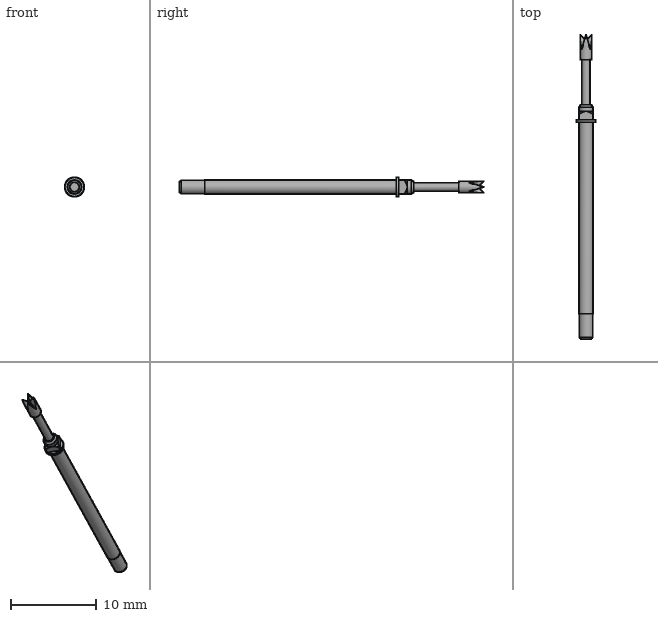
import cadquery as cq
import math


BARREL_DIAMETER = 1.65
BARREL_LENGTH = 25.5
TAIL_DIAMETER = 1.6
TAIL_LENGTH = 3.0
END_CHAMFER = 0.25

FLANGE_DIAMETER = 2.3
FLANGE_THICKNESS = 0.32

SQUARE_WIDTH = BARREL_DIAMETER
ROUND_START = 1.28
NOSE_START = 1.75
NOSE_END = 2.08
NOSE_DIAMETER = 1.25

STEM_DIAMETER = 1.0
HEAD_DIAMETER = 1.4
HEAD_LENGTH = 2.95
TIP_Y = 10.3
HEAD_START = TIP_Y - HEAD_LENGTH

POINT_COUNT = 4
NOTCH_DEPTH = 1.7
CENTER_DEPTH = HEAD_DIAMETER / 2


def rod(diameter, start, end):
    """Cylinder along +Y between two Y positions."""
    return (
        cq.Workplane("XZ", origin=(0, end, 0))
        .circle(diameter / 2)
        .extrude(end - start)
    )


def turned_solid(points):
    """Solid of revolution about Y from a half profile of (radius, Y) points."""
    return cq.Workplane("XY").polyline(points).close().revolve(360, (0, 0, 0), (0, 1, 0))


def make_barrel():
    """Long barrel with a slightly slimmer, chamfered tail."""
    tail_start = TAIL_LENGTH - BARREL_LENGTH
    tail = rod(TAIL_DIAMETER, -BARREL_LENGTH, tail_start).faces("<Y").chamfer(END_CHAMFER)
    return rod(BARREL_DIAMETER, tail_start, 0).union(tail)


def make_square_section():
    """Square block whose corners are rounded to the flange size and turned to a 45 degree cone."""
    corner_radius = FLANGE_DIAMETER / 2
    round_radius = BARREL_DIAMETER / 2
    cone_start = ROUND_START - (corner_radius - round_radius)
    turned = turned_solid([
        (0, 0),
        (corner_radius, 0),
        (corner_radius, cone_start),
        (round_radius, ROUND_START),
        (0, ROUND_START),
    ])
    block = (
        cq.Workplane("XZ", origin=(0, ROUND_START, 0))
        .rect(SQUARE_WIDTH, SQUARE_WIDTH)
        .extrude(ROUND_START)
    )
    return turned.intersect(block)


def make_round_collar():
    """Round section with a conical nose."""
    round_radius = BARREL_DIAMETER / 2
    return turned_solid([
        (0, ROUND_START),
        (round_radius, ROUND_START),
        (round_radius, NOSE_START),
        (NOSE_DIAMETER / 2, NOSE_END),
        (0, NOSE_END),
    ])


def make_notch_cutter():
    """V-shaped cutter for the notch facing +X, its floor rising towards the axis.

    The two sides of the V pass through the two neighbouring points of the crown.
    """
    head_radius = HEAD_DIAMETER / 2
    half_angle = math.pi / POINT_COUNT
    floor_drop = NOTCH_DEPTH - CENTER_DEPTH
    vertex_x = -head_radius * CENTER_DEPTH / floor_drop
    point_x = head_radius * math.cos(half_angle)
    point_z = head_radius * math.sin(half_angle)
    side_slope = point_z / (point_x - vertex_x)
    back_x = 3 * head_radius
    back_z = side_slope * (back_x - vertex_x)
    profile = cq.Wire.makePolygon(
        [
            cq.Vector(vertex_x, TIP_Y, 0),
            cq.Vector(back_x, TIP_Y, back_z),
            cq.Vector(back_x, TIP_Y, -back_z),
        ],
        close=True,
    )
    floor_direction = cq.Vector(head_radius, -floor_drop, 0)
    sweep = floor_direction * (2 * NOTCH_DEPTH / floor_drop)
    return cq.Workplane(cq.Solid.extrudeLinear(profile, [], sweep))


def make_head():
    """Crown head with one notch between each pair of neighbouring points."""
    head = rod(HEAD_DIAMETER, HEAD_START, TIP_Y)
    pitch = 360 / POINT_COUNT
    cutter = make_notch_cutter()
    for index in range(POINT_COUNT):
        angle = (index + 0.5) * pitch
        head = head.cut(cutter.rotate((0, 0, 0), (0, 1, 0), angle))
    return head


result = (
    make_barrel()
    .union(rod(FLANGE_DIAMETER, 0, FLANGE_THICKNESS))
    .union(make_square_section())
    .union(make_round_collar())
    .union(rod(STEM_DIAMETER, ROUND_START, HEAD_START))
    .union(make_head())
)